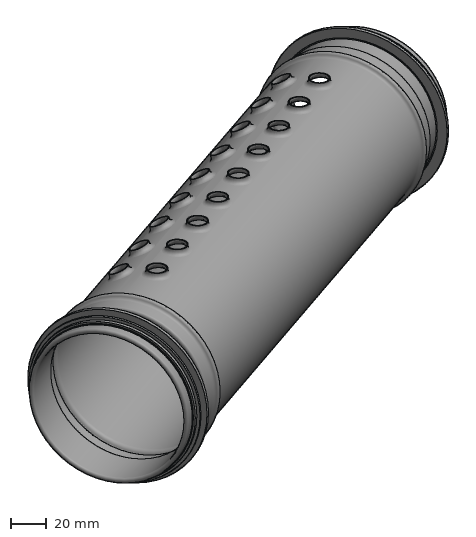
import cadquery as cq
import math

length = 383.5
wall = 0.73
duct_radius = 98.5 / 2
bore_radius = 91.5 / 2
spigot_radius = bore_radius + wall
spigot_length = 26.5
shoulder_bend = 1.5
end_y = length / 2
shoulder_y = end_y - spigot_length

rim_radius = 97.5 / 2
rim_length = 15.7
rim_bend = (rim_radius - spigot_radius + wall) / 2
rim_bend_y = end_y - rim_bend

bead_radius = 103.5 / 2
bead_inset = 39.5
bead_crest_bend = 2.0
bead_root_bend = 2.5
bead_y = end_y - bead_inset

nozzle_radius = 12.3 / 2
nozzle_bore_radius = 11.0 / 2
nozzle_wall = nozzle_radius - nozzle_bore_radius
nozzle_tip_radius = 52.5
nozzle_root_fillet = 2.5
nozzles_per_row = 9
nozzle_row_length = 239.8
nozzle_pitch = nozzle_row_length / (nozzles_per_row - 1)
row_angles = (0.0, -26.6)

sleeve_radius = 98.2 / 2
step_radius = 100.5 / 2
lip_radius = 104.5 / 2
flange_radius = 109.5 / 2
sleeve_start = 6.0
step_start = 7.0
lip_start = 9.2
lip_end = 10.7
flange_start = 13.5
flange_end = 15.7


def revolve_about_y(outline):
    return outline.close().revolve(360, (0, 0, 0), (0, 1, 0))


def on_arc(center, radius, angle):
    """Point at `angle` degrees from the radial direction towards +Y."""
    turn = math.radians(angle)
    return (center[0] + radius * math.cos(turn), center[1] + radius * math.sin(turn))


def filled_half_duct(inset):
    """The +Y half of the duct as a solid body, up to the rim bend, shrunk by `inset`."""
    tube = duct_radius - inset
    spigot = spigot_radius - inset

    crest = bead_crest_bend - inset
    root = bead_root_bend + inset
    crest_center = (bead_radius - bead_crest_bend, bead_y)
    root_drop = duct_radius + bead_root_bend - crest_center[0]
    bend_sum = bead_crest_bend + bead_root_bend
    tilt = math.degrees(math.acos(root_drop / bend_sum))
    half_width = math.sqrt(bend_sum**2 - root_drop**2)
    root_low = (duct_radius + bead_root_bend, bead_y - half_width)
    root_high = (duct_radius + bead_root_bend, bead_y + half_width)

    convex = shoulder_bend - inset
    concave = duct_radius - spigot_radius - convex
    convex_center = (duct_radius - shoulder_bend, shoulder_y - shoulder_bend)
    concave_center = (spigot + concave, shoulder_y - inset + concave)

    return revolve_about_y(
        cq.Workplane("XY")
        .lineTo(tube, 0)
        .lineTo(tube, root_low[1])
        .threePointArc(on_arc(root_low, root, 180 - tilt / 2), on_arc(root_low, root, 180 - tilt))
        .threePointArc(on_arc(crest_center, crest, 0), on_arc(crest_center, crest, tilt))
        .threePointArc(on_arc(root_high, root, 180 + tilt / 2), (tube, root_high[1]))
        .lineTo(tube, convex_center[1])
        .threePointArc(on_arc(convex_center, convex, 45), on_arc(convex_center, convex, 90))
        .threePointArc(on_arc(concave_center, concave, 225), (spigot, concave_center[1]))
        .lineTo(spigot, rim_bend_y)
        .lineTo(0, rim_bend_y)
    )


def folded_rim():
    """The end of the spigot turned outwards and back over itself, around a half-circle bend."""
    fold_center = (rim_radius - rim_bend, rim_bend_y)
    rim_edge_y = end_y - rim_length
    return revolve_about_y(
        cq.Workplane("XY")
        .moveTo(bore_radius, rim_bend_y)
        .threePointArc(on_arc(fold_center, rim_bend, 90), (rim_radius, rim_bend_y))
        .lineTo(rim_radius, rim_edge_y)
        .lineTo(rim_radius - wall, rim_edge_y)
        .lineTo(rim_radius - wall, rim_bend_y)
        .threePointArc(on_arc(fold_center, rim_bend - wall, 90), (spigot_radius, rim_bend_y))
    )


def at_other_end(body):
    """The same body turned over to the -Y end."""
    return body.rotate((0, 0, 0), (1, 0, 0), 180)


def nozzle_cylinder(radius, angle, y):
    """A cylinder from the duct axis out to the nozzle tip."""
    turn = math.radians(angle)
    direction = cq.Vector(math.sin(turn), 0, math.cos(turn))
    return cq.Workplane(cq.Solid.makeCylinder(radius, nozzle_tip_radius, cq.Vector(0, y, 0), direction))


def filled_duct(inset, cylinder_radius, root_fillet):
    """The whole duct between the rim bends as a solid body with rounded nozzle roots."""
    half = filled_half_duct(inset)
    body = half.union(at_other_end(half))
    for angle in row_angles:
        for index in range(nozzles_per_row):
            y = index * nozzle_pitch - nozzle_row_length / 2
            body = body.union(nozzle_cylinder(cylinder_radius, angle, y))
    return body.edges("not(%LINE or %CIRCLE)").fillet(root_fillet)


def make_duct():
    outside = filled_duct(0, nozzle_radius, nozzle_root_fillet)
    inside = filled_duct(wall, nozzle_bore_radius, nozzle_root_fillet + nozzle_wall)
    rim = folded_rim()
    return outside.cut(inside).union(rim).union(at_other_end(rim))


def make_gasket():
    """Rubber sleeve on the +Y folded rim, with a step, a thin lip and a flange."""
    return revolve_about_y(
        cq.Workplane("XY")
        .moveTo(rim_radius, end_y - sleeve_start)
        .lineTo(sleeve_radius, end_y - sleeve_start)
        .lineTo(sleeve_radius, end_y - step_start)
        .lineTo(step_radius, end_y - step_start)
        .lineTo(step_radius, end_y - lip_start)
        .lineTo(lip_radius, end_y - lip_start)
        .lineTo(lip_radius, end_y - lip_end)
        .lineTo(sleeve_radius, end_y - lip_end)
        .lineTo(sleeve_radius, end_y - flange_start)
        .lineTo(flange_radius, end_y - flange_start)
        .lineTo(flange_radius, end_y - flange_end)
        .lineTo(rim_radius, end_y - flange_end)
    )


duct = make_duct()
gasket = make_gasket()
gaskets = [gasket, at_other_end(gasket)]
result = cq.Compound.makeCompound([duct.val(), *(ring.val() for ring in gaskets)])